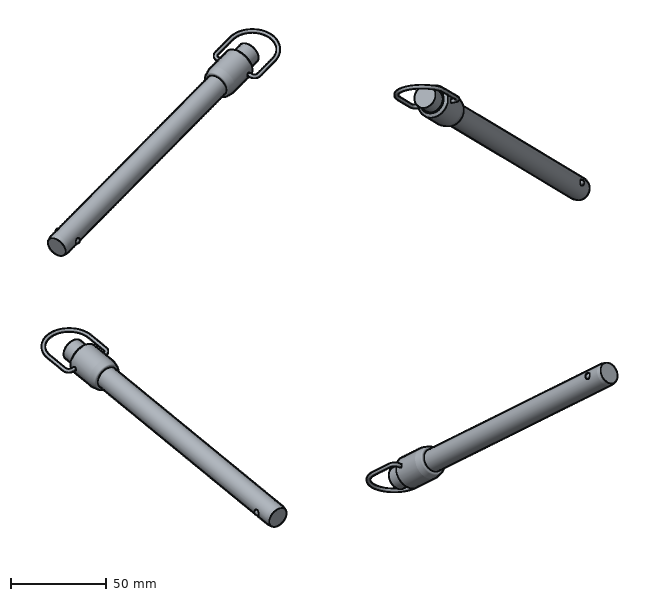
import cadquery as cq
import math

overall_length = 193.3
ring_width = 29.4

shank_radius = 6.28
tip_radius = 5.8
tip_length = 2.3
button_end = 175.5

collar_radius = 8.9
collar_start = 146.1
taper_length = 4.3
taper_radius = 8.0
taper_edge_fillet = 0.8
collar_end = 167.4
shoulder_length = 1.2
shoulder_radius = 7.0

ball_radius = 1.7
ball_reach = 7.5
ball_position = 10.0

wire_radius = 1.06
bend_radius = 2.9
ring_foot_position = 162.4
ring_foot_depth = 2.0


def revolved(profile):
    """Turn a (radius, Y) profile about the Y axis."""
    return profile.close().revolve(360, (0, 0, 0), (0, 1, 0))


def make_shank():
    return revolved(
        cq.Workplane("XY")
        .lineTo(tip_radius, 0)
        .lineTo(shank_radius, tip_length)
        .lineTo(shank_radius, button_end)
        .lineTo(0, button_end)
    )


def make_collar():
    collar = revolved(
        cq.Workplane("XY")
        .moveTo(0, collar_start)
        .lineTo(taper_radius, collar_start)
        .lineTo(collar_radius, collar_start + taper_length)
        .lineTo(collar_radius, collar_end - shoulder_length)
        .lineTo(shoulder_radius, collar_end)
        .lineTo(0, collar_end)
    )
    return collar.faces("<Y").edges().fillet(taper_edge_fillet)


def make_ball(side):
    center_x = side * (ball_reach - ball_radius)
    return cq.Workplane("XY").sphere(ball_radius).translate((center_x, ball_position, 0))


def make_ring():
    """Sweep round wire from one collar side, over the bow, to the other side."""
    leg_x = ring_width / 2 - wire_radius
    foot_x = collar_radius - ring_foot_depth
    leg_start = ring_foot_position + bend_radius
    bow_center = overall_length - wire_radius - leg_x
    bend_x = leg_x - bend_radius
    bend_mid_x = bend_x + bend_radius * math.sqrt(0.5)
    bend_mid_y = leg_start - bend_radius * math.sqrt(0.5)
    path = (
        cq.Workplane("XY")
        .moveTo(-foot_x, ring_foot_position)
        .lineTo(-bend_x, ring_foot_position)
        .threePointArc((-bend_mid_x, bend_mid_y), (-leg_x, leg_start))
        .lineTo(-leg_x, bow_center)
        .threePointArc((0, bow_center + leg_x), (leg_x, bow_center))
        .lineTo(leg_x, leg_start)
        .threePointArc((bend_mid_x, bend_mid_y), (bend_x, ring_foot_position))
        .lineTo(foot_x, ring_foot_position)
    )
    section = cq.Workplane("YZ", origin=(-foot_x, ring_foot_position, 0)).circle(wire_radius)
    return section.sweep(path)


result = make_shank().union(make_collar()).union(make_ring())
for side in (-1, 1):
    result = result.union(make_ball(side))